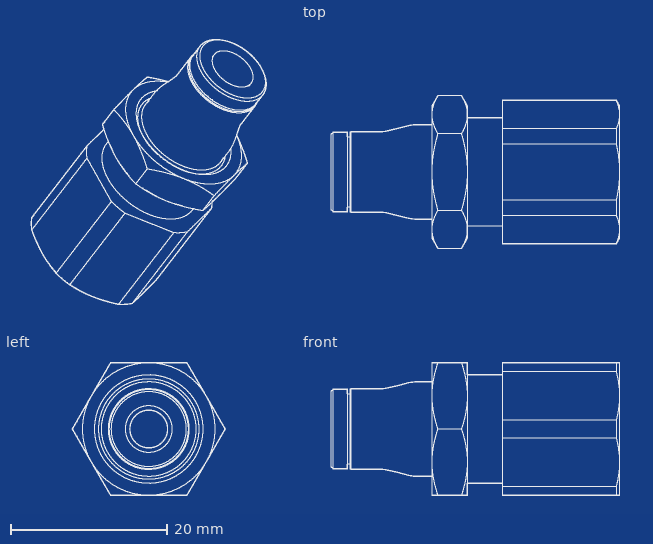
import cadquery as cq
import math

TOTAL_LENGTH = 37.0
GROOVE_START = 2.1
GROOVE_END = 2.45
BLEND_START = 6.4
NUT_START = 12.95
NUT_END = 17.5
HEX_START = 21.98

ACROSS_FLATS = 17.0
FLAT_RADIUS = ACROSS_FLATS / 2
HEX_CORNER_RADIUS = FLAT_RADIUS / math.cos(math.pi / 6)
HOUSING_CORNER_RADIUS = 9.2
CORNER_CHAMFER_ANGLE = math.radians(30)

ENTRY_RADIUS = 5.1
GROOVE_RADIUS = 4.5
SLEEVE_RADIUS = 5.18
SHANK_RADIUS = 6.05
THREAD_RADIUS = 6.45
NECK_RADIUS = 6.95
ENTRY_CHAMFER = 0.3
SLEEVE_CHAMFER = 0.1

TAPER_ANGLE = math.radians(14)
BLEND_RADIUS = 3.63

SOCKET_RADIUS = 3.0
PASSAGE_RADIUS = 2.4
SOCKET_DEPTH = NUT_START

COUNTERSINK_DEPTH = NECK_RADIUS - THREAD_RADIUS
THREAD_CHAMFER = THREAD_RADIUS - SHANK_RADIUS
THREAD_START = NUT_START + COUNTERSINK_DEPTH - THREAD_CHAMFER


def revolve_about_x(profile):
    """Close an (axial, radial) profile and turn it about the X axis."""
    return profile.close().revolve(360, (0, 0, 0), (1, 0, 0))


def hexagon(start, end):
    """Sharp hexagonal bar along X, with two corners on the Y axis."""
    return (
        cq.Workplane("YZ", origin=(start, 0, 0))
        .polygon(6, 2 * HEX_CORNER_RADIUS)
        .extrude(end - start)
    )


def corner_chamfer_length(corner_radius):
    """Axial length of a conical corner chamfer that begins at the flats."""
    return (corner_radius - FLAT_RADIUS) * math.tan(CORNER_CHAMFER_ANGLE)


def housing_shaft():
    arc_length = BLEND_RADIUS * math.sin(TAPER_ANGLE)
    arc_rise = BLEND_RADIUS * (1 - math.cos(TAPER_ANGLE))
    cone_rise = SHANK_RADIUS - SLEEVE_RADIUS - 2 * arc_rise
    cone_start = BLEND_START + arc_length
    cone_end = cone_start + cone_rise / math.tan(TAPER_ANGLE)
    return revolve_about_x(
        cq.Workplane("XY")
        .lineTo(0, ENTRY_RADIUS - ENTRY_CHAMFER)
        .lineTo(ENTRY_CHAMFER, ENTRY_RADIUS)
        .lineTo(GROOVE_START, ENTRY_RADIUS)
        .lineTo(GROOVE_START, GROOVE_RADIUS)
        .lineTo(GROOVE_END, GROOVE_RADIUS)
        .lineTo(GROOVE_END, SLEEVE_RADIUS - SLEEVE_CHAMFER)
        .lineTo(GROOVE_END + SLEEVE_CHAMFER, SLEEVE_RADIUS)
        .lineTo(BLEND_START, SLEEVE_RADIUS)
        .tangentArcPoint((cone_start, SLEEVE_RADIUS + arc_rise), relative=False)
        .lineTo(cone_end, SHANK_RADIUS - arc_rise)
        .tangentArcPoint((cone_end + arc_length, SHANK_RADIUS), relative=False)
        .lineTo(THREAD_START, SHANK_RADIUS)
        .lineTo(THREAD_START + THREAD_CHAMFER, THREAD_RADIUS)
        .lineTo(NUT_END, THREAD_RADIUS)
        .lineTo(NUT_END, NECK_RADIUS)
        .lineTo(HEX_START, NECK_RADIUS)
        .lineTo(HEX_START, 0)
    )


def housing_hexagon():
    """Hexagon with turned corners and a conical chamfer at the far end."""
    chamfer = corner_chamfer_length(HOUSING_CORNER_RADIUS)
    envelope = revolve_about_x(
        cq.Workplane("XY")
        .moveTo(HEX_START, 0)
        .lineTo(HEX_START, HOUSING_CORNER_RADIUS)
        .lineTo(TOTAL_LENGTH - chamfer, HOUSING_CORNER_RADIUS)
        .lineTo(TOTAL_LENGTH, FLAT_RADIUS)
        .lineTo(TOTAL_LENGTH, 0)
    )
    return hexagon(HEX_START, TOTAL_LENGTH).intersect(envelope)


def housing_bore():
    return revolve_about_x(
        cq.Workplane("XY")
        .lineTo(0, SOCKET_RADIUS)
        .lineTo(SOCKET_DEPTH, SOCKET_RADIUS)
        .lineTo(SOCKET_DEPTH, PASSAGE_RADIUS)
        .lineTo(TOTAL_LENGTH, PASSAGE_RADIUS)
        .lineTo(TOTAL_LENGTH, 0)
    )


def make_housing():
    return housing_shaft().union(housing_hexagon()).cut(housing_bore())


def make_lock_nut():
    """Hexagon nut chamfered on both faces, countersunk at its front."""
    chamfer = corner_chamfer_length(HEX_CORNER_RADIUS)
    ring = revolve_about_x(
        cq.Workplane("XY")
        .moveTo(NUT_START, NECK_RADIUS)
        .lineTo(NUT_START, FLAT_RADIUS)
        .lineTo(NUT_START + chamfer, HEX_CORNER_RADIUS)
        .lineTo(NUT_END - chamfer, HEX_CORNER_RADIUS)
        .lineTo(NUT_END, FLAT_RADIUS)
        .lineTo(NUT_END, THREAD_RADIUS)
        .lineTo(NUT_START + COUNTERSINK_DEPTH, THREAD_RADIUS)
    )
    return hexagon(NUT_START, NUT_END).intersect(ring)


housing = make_housing()
lock_nut = make_lock_nut()
result = cq.Compound.makeCompound([housing.val(), lock_nut.val()])